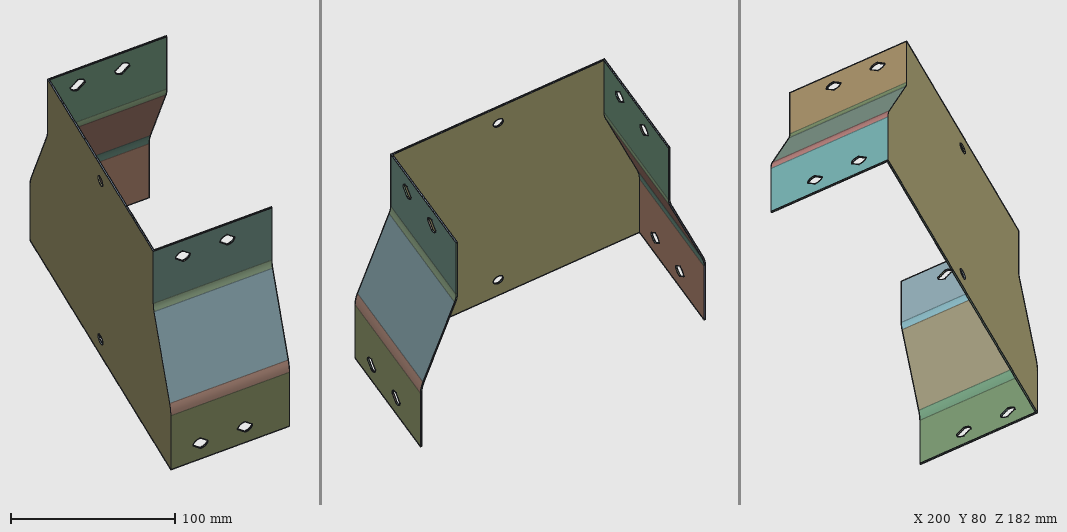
import cadquery as cq
import math

height = 182.0
depth = 80.0
bottom_width = 200.0
top_width = 150.0
sheet = 1.0

lower_bend_z = 57.0
upper_bend_z = 128.5
lower_bend_radius = 30.0
upper_bend_radius = 20.0

hole_diameter = 7.0
end_margin = 15.0
slot_width = 7.0
slot_length = 10.0
slot_angle = 45.0
slot_depths = (20.0, 50.0)
hole_heights = (end_margin, height - end_margin)


def tapered_prism(inset, start_y):
    """Solid with the channel outline moved in by inset on both sides, from start_y to the open face."""
    bottom_half = bottom_width / 2 - inset
    top_half = top_width / 2 - inset
    lean = math.atan2((bottom_width - top_width) / 2, upper_bend_z - lower_bend_z)
    drop = inset * math.tan(lean / 2)
    lower_z = lower_bend_z - drop
    upper_z = upper_bend_z - drop
    right_side = [(bottom_half, 0), (bottom_half, lower_z), (top_half, upper_z), (top_half, height)]
    left_side = [(-x, z) for x, z in reversed(right_side)]
    body = (
        cq.Workplane("XZ", origin=(0, start_y, 0))
        .polyline(right_side + left_side)
        .close()
        .extrude(start_y - depth)
    )
    middle_y = (start_y + depth) / 2
    for side in (-1, 1):
        lower_point = (side * bottom_half, middle_y, lower_z)
        upper_point = (side * top_half, middle_y, upper_z)
        body = body.edges(cq.NearestToPointSelector(lower_point)).fillet(lower_bend_radius - inset)
        body = body.edges(cq.NearestToPointSelector(upper_point)).fillet(upper_bend_radius + inset)
    return body


def plate_holes():
    """Round holes on the centre line of the back plate."""
    return (
        cq.Workplane("XZ")
        .pushPoints([(0, z) for z in hole_heights])
        .circle(hole_diameter / 2)
        .extrude(-2 * sheet)
    )


def wall_slots(side):
    """Slanted flat-sided round holes of one side wall; the two walls slant opposite ways."""
    centres = [(y, z) for y in slot_depths for z in hole_heights]
    reach = side * bottom_width
    rounds = cq.Workplane("YZ").pushPoints(centres).circle(slot_length / 2).extrude(reach)
    flat_strip = cq.Sketch().rect(slot_length, slot_width, angle=-side * slot_angle)
    strips = cq.Workplane("YZ").pushPoints(centres).placeSketch(flat_strip).extrude(reach)
    return rounds.intersect(strips)


channel = tapered_prism(0, 0).cut(tapered_prism(sheet, sheet))
result = channel.cut(plate_holes()).cut(wall_slots(-1)).cut(wall_slots(1))